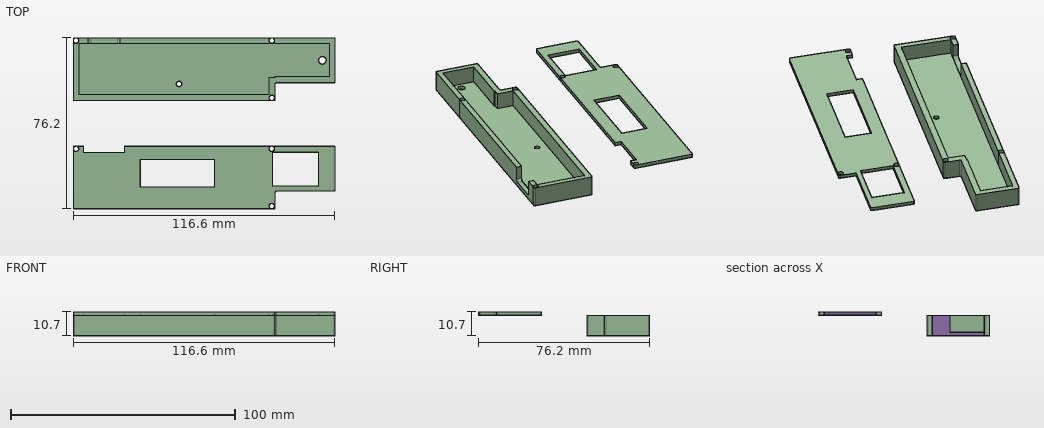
import cadquery as cq

length = 116.6
width = 28.0
body_length = 89.9
step_depth = 7.9
corner_radius = 0.6

housing_height = 9.1
floor_thickness = 1.6
wall = 2.5
front_wall = 2.8
inner_jog = 0.3
housing_y = 48.2

slot_left = 6.6
slot_right = 20.9
slot_floor = 2.0
slot_radius = 1.2

screw_diameter = 2.3
screw_inset = wall / 2
screw_x = 88.4
screw_points = [
    (screw_inset, width - screw_inset),
    (screw_x, width - screw_inset),
    (screw_x, screw_inset),
]
floor_hole_point = (47.1, 7.5)
end_hole_diameter = 3.3
end_hole_point = (110.9, 18.0)

lid_thickness = 1.6
notch_left = 4.7
notch_right = 22.7
notch_depth = 2.8
display_left = 29.9
display_right = 62.9
display_bottom = 9.8
display_top = 21.9
end_window_left = 88.7
end_window_right = 109.1
end_window_bottom = step_depth + 2.3
end_window_top = width - notch_depth


def stepped_plate(height):
    """Rectangle with its front right corner cut away, with rounded outer corners."""
    outline = [
        (0, 0),
        (body_length, 0),
        (body_length, step_depth),
        (length, step_depth),
        (length, width),
        (0, width),
    ]
    return cq.Workplane("XY").polyline(outline).close().extrude(height).edges("|Z").fillet(corner_radius)


def block(left, right, front, back, bottom, top):
    """Axis-aligned box given by its limits."""
    return cq.Workplane("XY").box(
        right - left, back - front, top - bottom, centered=False
    ).translate((left, front, bottom))


def drill(points, diameter):
    """Vertical cylinders reaching through the full height of either body."""
    return cq.Workplane("XY").pushPoints(points).circle(diameter / 2).extrude(housing_height)


def housing_pocket():
    """Stepped cavity that leaves the floor and the side walls."""
    inner_step = step_depth + wall
    outline = [
        (wall, front_wall),
        (body_length - front_wall, front_wall),
        (body_length - front_wall, inner_step),
        (body_length, inner_step),
        (body_length, inner_step + inner_jog),
        (length - wall, inner_step + inner_jog),
        (length - wall, width - wall),
        (wall, width - wall),
    ]
    return (
        cq.Workplane("XY", origin=(0, 0, floor_thickness))
        .polyline(outline).close().extrude(housing_height - floor_thickness)
    )


def connector_slot():
    """Open-topped slot through the back wall, rounded at its lower corners."""
    slot = block(slot_left, slot_right, width - wall, width, slot_floor, housing_height)
    return slot.edges("|Y and <Z").fillet(slot_radius)


def make_housing():
    return (
        stepped_plate(housing_height)
        .cut(housing_pocket())
        .cut(connector_slot())
        .cut(drill(screw_points + [floor_hole_point], screw_diameter))
        .cut(drill([end_hole_point], end_hole_diameter))
        .translate((0, housing_y, 0))
    )


def make_lid():
    notch = block(notch_left, notch_right, width - notch_depth, width, 0, lid_thickness)
    display_window = block(
        display_left, display_right, display_bottom, display_top, 0, lid_thickness
    )
    end_window = block(
        end_window_left, end_window_right, end_window_bottom, end_window_top, 0, lid_thickness
    )
    return (
        stepped_plate(lid_thickness)
        .cut(notch)
        .cut(display_window)
        .cut(end_window)
        .cut(drill(screw_points, screw_diameter))
        .translate((0, 0, housing_height))
    )


housing = make_housing()
lid = make_lid()
result = cq.Compound.makeCompound([housing.val(), lid.val()])